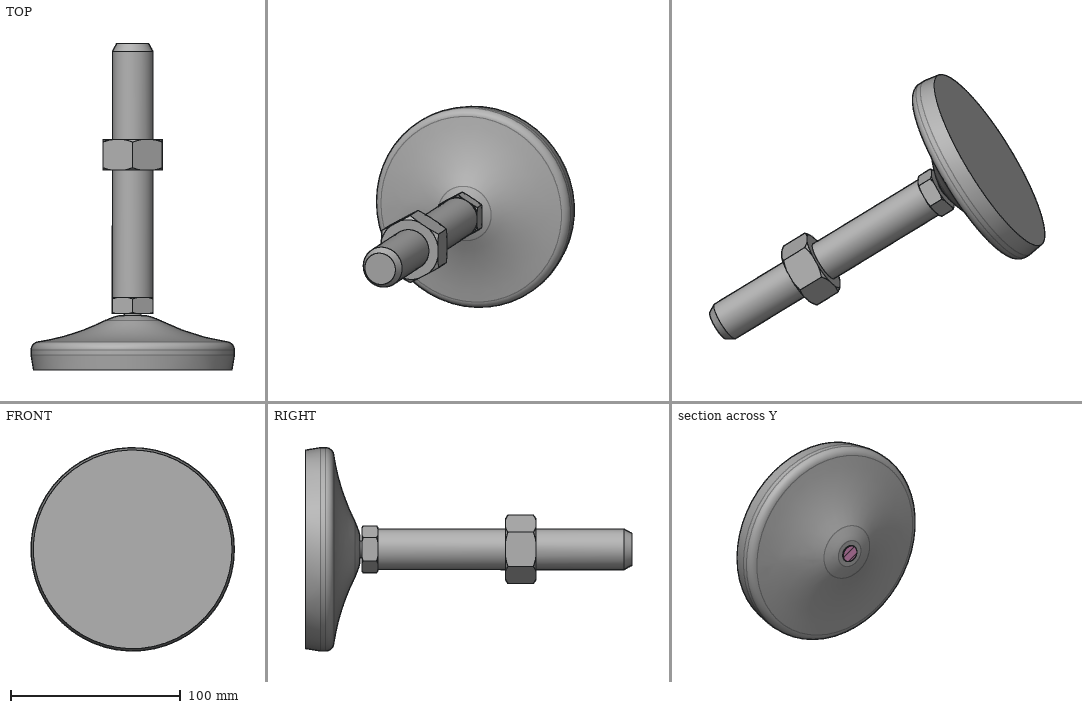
import cadquery as cq
import math

total_length = 192.5

pad_radius = 120.0 / 2
base_radius = 58.5
taper_top = 8.9
rim_top = 12.0
shoulder_radius = 55.8
shoulder_height = 16.7
crown_edge_radius = 16.4
crown_edge_height = 29.3
pad_top_radius = 8.0
pad_top = 32.1

neck_radius = 10.0 / 2
spindle_radius = 24.0 / 2
tip_length = 4.8
tip_radius = 9.5
foot_hex_bottom = 33.3
foot_hex_height = 9.5
foot_hex_flats = 2 * spindle_radius
foot_hex_chamfer = (1.2, 0.8)
nut_bottom = 117.8
nut_height = 18.0
nut_flats = 35.0
nut_chamfer = (2.3, 1.5)


def revolve_about_y(profile):
    return profile.close().revolve(360, (0, 0, 0), (0, 1, 0))


def make_pad():
    """Tapered disc whose rounded shoulder, concave flare and crown are tangent arcs."""
    rim = (pad_radius, rim_top)
    shoulder = (shoulder_radius, shoulder_height)
    crown_edge = (crown_edge_radius, crown_edge_height)
    crown = (pad_top_radius, pad_top)
    return revolve_about_y(
        cq.Workplane("XY")
        .lineTo(base_radius, 0)
        .lineTo(pad_radius, taper_top)
        .lineTo(*rim)
        .tangentArcPoint(shoulder, relative=False)
        .tangentArcPoint(crown_edge, relative=False)
        .tangentArcPoint(crown, relative=False)
        .lineTo(0, pad_top)
    )


def make_spindle():
    """Narrow neck out of the pad, then a plain rod with a tapered tip."""
    return revolve_about_y(
        cq.Workplane("XY")
        .moveTo(0, crown_edge_height)
        .lineTo(neck_radius, crown_edge_height)
        .lineTo(neck_radius, foot_hex_bottom)
        .lineTo(spindle_radius, foot_hex_bottom)
        .lineTo(spindle_radius, total_length - tip_length)
        .lineTo(tip_radius, total_length)
        .lineTo(0, total_length)
    )


def make_hexagon(bottom, height, flats, chamfer):
    """Hexagon with flats facing X and conically chamfered corners at both ends."""
    corner_radius = flats / math.sqrt(3)
    radial, axial = chamfer
    top = bottom + height
    prism = (
        cq.Workplane("XZ", origin=(0, bottom, 0))
        .transformed(rotate=(0, 0, 90))
        .polygon(6, 2 * corner_radius)
        .extrude(-height)
    )
    envelope = revolve_about_y(
        cq.Workplane("XY")
        .moveTo(0, bottom)
        .lineTo(corner_radius - radial, bottom)
        .lineTo(corner_radius, bottom + axial)
        .lineTo(corner_radius, top - axial)
        .lineTo(corner_radius - radial, top)
        .lineTo(0, top)
    )
    return prism.intersect(envelope)


foot_hex = make_hexagon(foot_hex_bottom, foot_hex_height, foot_hex_flats, foot_hex_chamfer)
nut = make_hexagon(nut_bottom, nut_height, nut_flats, nut_chamfer)

result = make_pad().union(make_spindle()).union(foot_hex).union(nut)